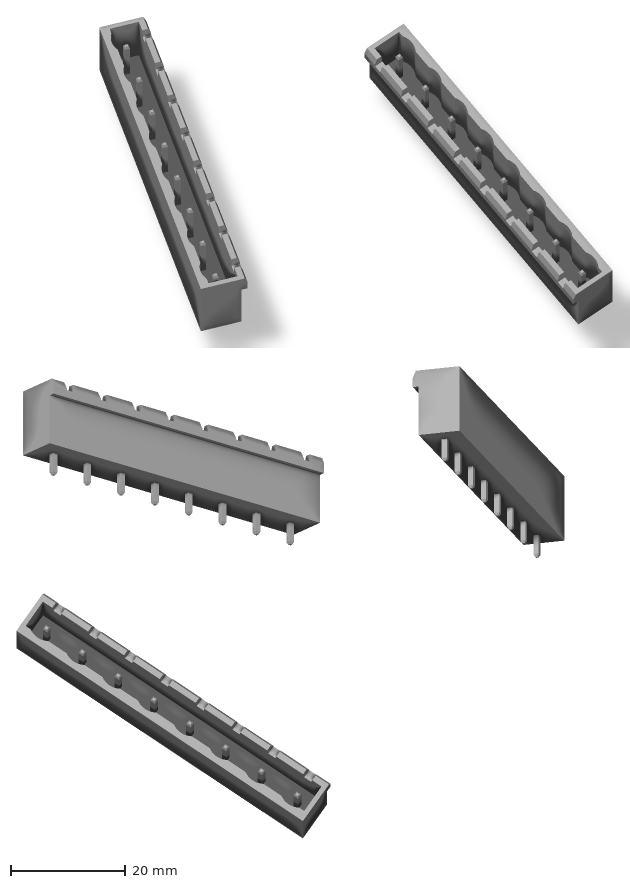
import cadquery as cq

pin_count = 8
length = 60.95
pitch = length / pin_count

body_depth = 7.5
body_height = 12.0
total_depth = 8.6
ledge_height = 3.0
ledge_chamfer_depth = 0.55
ledge_chamfer_height = 1.3

end_wall = 0.85
front_wall = 1.65
cavity_depth = 5.35
floor_thickness = 2.5
scallop_width = 3.8
scallop_depth = 0.55

notch_floor_width = 1.45
notch_top_width = 1.95
notch_depth = 1.6

pin_size = 1.0
pin_y = 3.85
pin_below = 3.95
pin_top = 10.05
tip_chamfer = 0.25
tip_length = 0.5

pin_positions = [(index - (pin_count - 1) / 2) * pitch for index in range(pin_count)]


def make_shroud():
    """Side profile of the body and ledge, extruded along X."""
    ledge_bottom = body_height - ledge_height
    profile = (
        cq.Workplane("YZ")
        .moveTo(0, 0)
        .lineTo(body_depth, 0)
        .lineTo(body_depth, ledge_bottom)
        .lineTo(total_depth, ledge_bottom)
        .lineTo(total_depth, body_height - ledge_chamfer_height)
        .lineTo(total_depth - ledge_chamfer_depth, body_height)
        .lineTo(0, body_height)
        .close()
    )
    return profile.extrude(length / 2, both=True)


def make_cavity():
    """Pocket whose front side bulges outwards in an arc at every pin."""
    half_width = length / 2 - end_wall
    back = front_wall + cavity_depth
    outline = cq.Workplane("XY", origin=(0, 0, floor_thickness)).moveTo(-half_width, front_wall)
    for x in pin_positions:
        outline = outline.lineTo(x - scallop_width / 2, front_wall).threePointArc(
            (x, front_wall - scallop_depth), (x + scallop_width / 2, front_wall)
        )
    outline = outline.lineTo(half_width, front_wall).lineTo(half_width, back).lineTo(-half_width, back).close()
    return outline.extrude(body_height - floor_thickness)


def make_notch(x):
    """Tapered slot from the middle of the cavity out through the back wall."""
    floor_half = notch_floor_width / 2
    top_half = notch_top_width / 2
    notch_floor = body_height - notch_depth
    profile = (
        cq.Workplane("XZ", origin=(x, pin_y, 0))
        .moveTo(-floor_half, notch_floor)
        .lineTo(floor_half, notch_floor)
        .lineTo(top_half, body_height)
        .lineTo(-top_half, body_height)
        .close()
    )
    return profile.extrude(-(total_depth - pin_y))


def make_pin(x):
    """Square pin running through the floor, with both ends tapered."""
    pin = cq.Workplane("XY", origin=(x, pin_y, -pin_below)).rect(pin_size, pin_size).extrude(pin_below + pin_top)
    return pin.faces("<Z or >Z").chamfer(tip_length, tip_chamfer)


result = make_shroud().cut(make_cavity())
for pin_x in pin_positions:
    result = result.cut(make_notch(pin_x))
for pin_x in pin_positions:
    result = result.union(make_pin(pin_x))